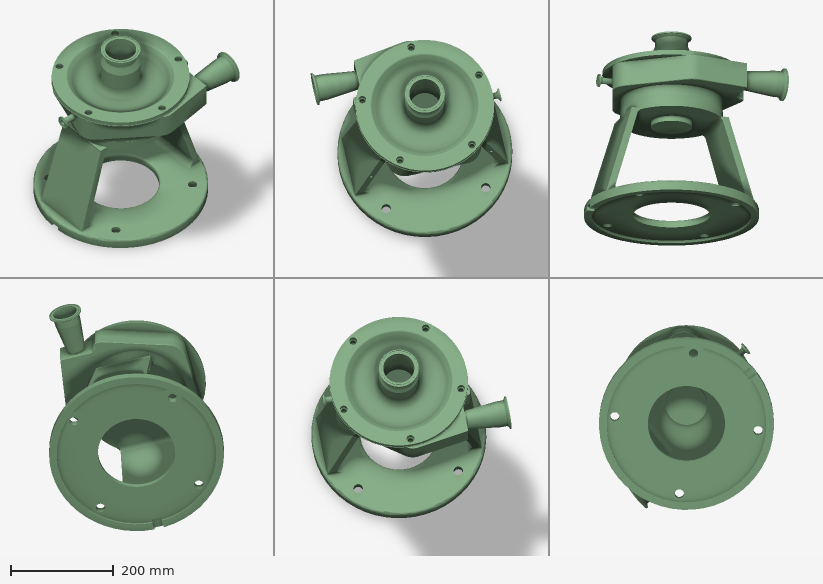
import cadquery as cq
import math

BASE_RADIUS = 170.0
BASE_THICKNESS = 20.0
BASE_EDGE_ROUND = 4.5
BASE_BORE_RADIUS = 75.0
BASE_BORE_ROUND = 5.0
ANCHOR_HOLE_DIAMETER = 18.0
ANCHOR_CIRCLE_RADIUS = 140.0
ANCHOR_HOLE_COUNT = 4
ANCHOR_START_ANGLE = 45.0
NOTCH_WIDTH = 19.0
NOTCH_HEIGHT = 8.0
NOTCH_LENGTH = 20.0
RECESS_RADIUS = 155.0
RECESS_DEPTH = 5.2

LEG_FOOT_Y = 152.8
LEG_TOP_Y = 100.0
LEG_THICKNESS = 14.0
LEG_FOOT_HALF_WIDTH = 59.8
LEG_TOP_HALF_WIDTH = 55.0
LEG_TOP_OVERLAP = 3.3
LEG_FOOT_ROUND = 13.0
LEG_TOP_ROUND = 10.0
LEG_SIDE_ROUND = 3.0
LEG_EMBED = 6.0
LEG_HOLE_DIAMETER = 6.0
LEG_HOLE_DEPTH = 10.0
LEG_HOLE_Z = 106.5

ADAPTER_RADIUS = 100.0
ADAPTER_NECK_RADIUS = 99.3
ADAPTER_STEP_Z = 215.5
ADAPTER_BOTTOM_Z = 195.5
SEAL_RADIUS = 40.0
SEAL_BOTTOM_Z = 185.0

SIDE_COUNT = 5
CASING_BOTTOM_Z = 239.5
CASING_TOP_Z = 289.0
CASING_INRADIUS = 115.0
CASING_CORNER_RADIUS = 35.0
CASING_EDGE_BEVEL = 1.0

BLOCK_FACE_Y = 114.0
BLOCK_RIGHT_X = 123.0
BLOCK_SIDE_SLANT = 9.0
BLOCK_HEEL_X = 36.0
BLOCK_HEEL_SHOULDER_X = 45.5
BLOCK_HEEL_TIP = (48.5, 131.0)
BLOCK_HEEL_FOOT_X = 52.0

COVER_RADIUS = 134.0
COVER_TOP_Z = 299.0
COVER_LIP_RADIUS = 134.8
COVER_LIP_THICKNESS = 1.4
DISH_OUTER_RADIUS = 106.6
DISH_FLOOR_RADIUS = 83.0
DISH_LIP_ROUND = 5.0
DISH_FLOOR_ROUND = 15.5
HUB_ROUND = 15.0
DISH_FLOOR_Z = COVER_TOP_Z - HUB_ROUND

BOLT_CIRCLE_RADIUS = 122.0
BOLT_COUNTERBORE_DIAMETER = 15.0
BOLT_COUNTERBORE_DEPTH = COVER_TOP_Z - CASING_TOP_Z
BOLT_HOLE_DIAMETER = 10.0
BOLT_HOLE_DEPTH = 12.0
BOLT_HOLE_BEVEL = 1.2
DRILL_POINT_ANGLE = 118.0

INLET_TOP_Z = 369.0
INLET_RADIUS = 38.75
INLET_NECK_RADIUS = 31.75
INLET_BORE_RADIUS = 30.2
INLET_NECK_BOTTOM_Z = 350.0
INLET_CONE_BOTTOM_Z = 335.5

OUTLET_X = 90.5
OUTLET_Z = 264.3
OUTLET_END_Y = 200.0
OUTLET_RIM_RADIUS = 32.0
OUTLET_PIPE_RADIUS = 25.5
OUTLET_BORE_RADIUS = 23.8
OUTLET_CONE_START_Y = 179.0
OUTLET_CONE_END_Y = 118.0
OUTLET_ROOT_RADIUS = 18.5
OUTLET_COLLAR_RADIUS = 16.7
OUTLET_COLLAR_END_Y = 116.2
OUTLET_WALL = OUTLET_PIPE_RADIUS - OUTLET_BORE_RADIUS

DRAIN_Z = 266.0
DRAIN_END_Y = -150.0
DRAIN_ROOT_Y = -112.0
DRAIN_RIM_RADIUS = 12.6
DRAIN_PIPE_RADIUS = 6.2
DRAIN_BORE_RADIUS = 4.7

RIM_THICKNESS = 2.85
RIM_STEP = 2.0
CLAMP_CONE_ANGLE = 42.0
SEAT_GROOVE_WIDTH = 2.4
SEAT_GROOVE_DEPTH = 1.5


def polar(radius, degrees, centre=(0.0, 0.0)):
    angle = math.radians(degrees)
    return (centre[0] + radius * math.cos(angle), centre[1] + radius * math.sin(angle))


def cylinder(radius, z_low, z_high):
    return cq.Workplane("XY").workplane(offset=z_low).circle(radius).extrude(z_high - z_low)


def turned(points):
    """Solid of revolution about Z from (radius, height) points."""
    return cq.Workplane("XZ").polyline(points).close().revolve(360, (0, 0, 0), (0, 1, 0))


def clamp_rim(rim_radius, pipe_radius, end):
    """Solid clamp collar whose sealing face, with a seat groove, lies at height end."""
    cone_radius = rim_radius - RIM_STEP
    cone_height = (cone_radius - pipe_radius) * math.tan(math.radians(CLAMP_CONE_ANGLE))
    back = end - RIM_THICKNESS
    collar = turned([
        (0, end),
        (rim_radius, end),
        (rim_radius, back),
        (cone_radius, back),
        (pipe_radius, back - cone_height),
        (0, back - cone_height),
    ])
    groove_outer = cone_radius
    groove_inner = groove_outer - SEAT_GROOVE_WIDTH
    groove = (
        cq.Workplane("XY").workplane(offset=end - SEAT_GROOVE_DEPTH)
        .circle(groove_outer).circle(groove_inner).extrude(SEAT_GROOVE_DEPTH)
    )
    return collar.cut(groove)


def make_base():
    base = cylinder(BASE_RADIUS, 0, BASE_THICKNESS)
    base = base.edges(">Z").fillet(BASE_EDGE_ROUND)
    base = base.faces(">Z").workplane().circle(BASE_BORE_RADIUS).cutThruAll()
    bore_edge = cq.selectors.RadiusNthSelector(0)
    base = base.faces(">Z").edges(bore_edge).fillet(BASE_BORE_ROUND)
    anchor_holes = (
        cq.Workplane("XY")
        .polarArray(ANCHOR_CIRCLE_RADIUS, ANCHOR_START_ANGLE, 360, ANCHOR_HOLE_COUNT)
        .circle(ANCHOR_HOLE_DIAMETER / 2).extrude(BASE_THICKNESS)
    )
    notch = (
        cq.Workplane("XY")
        .box(NOTCH_WIDTH, 2 * NOTCH_LENGTH, NOTCH_HEIGHT, centered=(True, True, False))
        .translate((0, -BASE_RADIUS, 0))
    )
    recess = cylinder(RECESS_RADIUS, 0, RECESS_DEPTH)
    return base.cut(anchor_holes).cut(recess).cut(notch)


def make_leg():
    """Leg on the -Y side: a sloping profile trimmed to a tapering width."""
    rise = ADAPTER_BOTTOM_Z - BASE_THICKNESS
    slope = (LEG_FOOT_Y - LEG_TOP_Y) / rise
    lean = math.atan(slope)
    thickness_y = LEG_THICKNESS / math.cos(lean)
    root_z = BASE_THICKNESS - LEG_EMBED
    top_z = ADAPTER_BOTTOM_Z + LEG_TOP_OVERLAP

    def inner_y(z):
        return -(LEG_FOOT_Y - slope * (z - BASE_THICKNESS) - thickness_y)

    foot_tangent = LEG_FOOT_ROUND * math.tan((math.pi / 2 + lean) / 2)
    top_tangent = LEG_TOP_ROUND * math.tan((math.pi / 2 - lean) / 2)
    foot_start_y = inner_y(BASE_THICKNESS) + foot_tangent
    foot_end_z = BASE_THICKNESS + foot_tangent * math.cos(lean)
    foot_middle = polar(LEG_FOOT_ROUND, 225 - math.degrees(lean) / 2,
                        (foot_start_y, BASE_THICKNESS + LEG_FOOT_ROUND))
    top_end_y = inner_y(ADAPTER_BOTTOM_Z) + top_tangent
    top_start_z = ADAPTER_BOTTOM_Z - top_tangent * math.cos(lean)
    top_middle = polar(LEG_TOP_ROUND, 135 - math.degrees(lean) / 2,
                       (top_end_y, ADAPTER_BOTTOM_Z - LEG_TOP_ROUND))
    side_profile = (
        cq.Workplane("YZ")
        .moveTo(-LEG_FOOT_Y, root_z)
        .lineTo(foot_start_y, root_z)
        .lineTo(foot_start_y, BASE_THICKNESS)
        .threePointArc(foot_middle, (inner_y(foot_end_z), foot_end_z))
        .lineTo(inner_y(top_start_z), top_start_z)
        .threePointArc(top_middle, (top_end_y, ADAPTER_BOTTOM_Z))
        .lineTo(top_end_y, top_z)
        .lineTo(-LEG_TOP_Y, top_z)
        .lineTo(-LEG_TOP_Y, ADAPTER_BOTTOM_Z)
        .lineTo(-LEG_FOOT_Y, BASE_THICKNESS)
        .close()
        .extrude(BASE_RADIUS, both=True)
    )

    flare_x = LEG_FOOT_HALF_WIDTH + LEG_SIDE_ROUND
    flare_z = BASE_THICKNESS + LEG_SIDE_ROUND
    half_outline = (
        cq.Workplane("XZ")
        .moveTo(0, root_z)
        .lineTo(flare_x, root_z)
        .lineTo(flare_x, BASE_THICKNESS)
        .radiusArc((LEG_FOOT_HALF_WIDTH, flare_z), LEG_SIDE_ROUND)
        .lineTo(LEG_TOP_HALF_WIDTH, top_z)
        .lineTo(0, top_z)
        .close()
        .extrude(BASE_RADIUS)
    )
    leg = side_profile.intersect(half_outline.union(half_outline.mirror("YZ")))

    hole_y = inner_y(LEG_HOLE_Z) - thickness_y / 2
    hole = (
        cq.Workplane("YZ").workplane(offset=-LEG_FOOT_HALF_WIDTH)
        .center(hole_y, LEG_HOLE_Z)
        .circle(LEG_HOLE_DIAMETER / 2).extrude(LEG_HOLE_DEPTH)
    )
    return leg.cut(hole)


def make_casing():
    corner_distance = (CASING_INRADIUS - CASING_CORNER_RADIUS) / math.cos(math.pi / SIDE_COUNT)
    body = (
        cq.Workplane("XY").workplane(offset=CASING_BOTTOM_Z)
        .polyline([polar(corner_distance, 360 / SIDE_COUNT * i) for i in range(SIDE_COUNT)])
        .close()
        .offset2D(CASING_CORNER_RADIUS)
        .extrude(CASING_TOP_Z - CASING_BOTTOM_Z)
    )
    return body.union(make_discharge_block()).faces("<Z").edges().chamfer(CASING_EDGE_BEVEL)


def make_discharge_block():
    """Thickened corner of the casing that carries the discharge nozzle."""
    half_step = 180 / SIDE_COUNT
    lower_normal = -half_step
    upper_normal = 3 * half_step

    slant = math.radians(BLOCK_SIDE_SLANT)
    side_distance = BLOCK_RIGHT_X * math.cos(slant) + BLOCK_FACE_Y * math.sin(slant)

    bisector = (BLOCK_SIDE_SLANT + lower_normal) / 2
    half_turn = math.radians((BLOCK_SIDE_SLANT - lower_normal) / 2)
    side_inset = side_distance - CASING_CORNER_RADIUS
    casing_inset = CASING_INRADIUS - CASING_CORNER_RADIUS
    along_bisector = (side_inset + casing_inset) / (2 * math.cos(half_turn))
    across_bisector = (side_inset - casing_inset) / (2 * math.sin(half_turn))
    centre = polar(across_bisector, bisector + 90, polar(along_bisector, bisector))

    heel_angle = math.radians(upper_normal)
    heel_y = (CASING_INRADIUS - BLOCK_HEEL_X * math.cos(heel_angle)) / math.sin(heel_angle)
    return (
        cq.Workplane("XY").workplane(offset=CASING_BOTTOM_Z)
        .moveTo(0, 0)
        .lineTo(*polar(CASING_INRADIUS, lower_normal))
        .lineTo(*polar(CASING_CORNER_RADIUS, lower_normal, centre))
        .threePointArc(
            polar(CASING_CORNER_RADIUS, bisector, centre),
            polar(CASING_CORNER_RADIUS, BLOCK_SIDE_SLANT, centre),
        )
        .lineTo(BLOCK_RIGHT_X, BLOCK_FACE_Y)
        .lineTo(BLOCK_HEEL_FOOT_X, BLOCK_FACE_Y)
        .lineTo(*BLOCK_HEEL_TIP)
        .lineTo(BLOCK_HEEL_SHOULDER_X, heel_y)
        .lineTo(BLOCK_HEEL_X, heel_y)
        .lineTo(*polar(CASING_INRADIUS, upper_normal))
        .close()
        .extrude(CASING_TOP_Z - CASING_BOTTOM_Z)
    )


def make_dish():
    """Ring-shaped recess around the inlet: 45 degree wall, rounded at lip, floor and hub."""
    half = math.sqrt(0.5)
    lip_inner = DISH_OUTER_RADIUS - DISH_LIP_ROUND * half
    lip_z = COVER_TOP_Z - DISH_LIP_ROUND * (1 - half)
    wall_foot = DISH_FLOOR_RADIUS + DISH_FLOOR_ROUND * half
    wall_foot_z = DISH_FLOOR_Z + DISH_FLOOR_ROUND * (1 - half)
    return (
        cq.Workplane("XZ")
        .moveTo(INLET_RADIUS, COVER_TOP_Z)
        .radiusArc((INLET_RADIUS + HUB_ROUND, DISH_FLOOR_Z), -HUB_ROUND)
        .lineTo(DISH_FLOOR_RADIUS, DISH_FLOOR_Z)
        .radiusArc((wall_foot, wall_foot_z), -DISH_FLOOR_ROUND)
        .lineTo(lip_inner, lip_z)
        .radiusArc((DISH_OUTER_RADIUS, COVER_TOP_Z), DISH_LIP_ROUND)
        .close()
        .revolve(360, (0, 0, 0), (0, 1, 0))
    )


def make_inlet():
    pipe = turned([
        (0, CASING_TOP_Z),
        (INLET_RADIUS, CASING_TOP_Z),
        (INLET_RADIUS, INLET_CONE_BOTTOM_Z),
        (INLET_NECK_RADIUS, INLET_NECK_BOTTOM_Z),
        (INLET_NECK_RADIUS, INLET_TOP_Z - RIM_THICKNESS),
        (0, INLET_TOP_Z - RIM_THICKNESS),
    ])
    return pipe.union(clamp_rim(INLET_RADIUS, INLET_NECK_RADIUS, INLET_TOP_Z))


def make_bolt_hole():
    """Counterbore and drilled hole about the Z axis, opening at the cover top."""
    wide = BOLT_COUNTERBORE_DIAMETER / 2
    narrow = BOLT_HOLE_DIAMETER / 2
    seat_z = COVER_TOP_Z - BOLT_COUNTERBORE_DEPTH
    hole_z = seat_z - BOLT_HOLE_DEPTH
    point_height = narrow / math.tan(math.radians(DRILL_POINT_ANGLE / 2))
    return turned([
        (0, COVER_TOP_Z),
        (wide, COVER_TOP_Z),
        (wide, seat_z),
        (narrow + BOLT_HOLE_BEVEL, seat_z),
        (narrow, seat_z - BOLT_HOLE_BEVEL),
        (narrow, hole_z),
        (0, hole_z - point_height),
    ])


def cut_bolt_holes(body):
    for i in range(SIDE_COUNT):
        place = polar(BOLT_CIRCLE_RADIUS, 360 / SIDE_COUNT * i)
        body = body.cut(make_bolt_hole().translate((*place, 0)))
    return body


def place_outlet(shape):
    """Turn a shape built along +Z to point along +Y on the discharge axis."""
    return shape.rotate((0, 0, 0), (1, 0, 0), -90).translate((OUTLET_X, 0, OUTLET_Z))


def place_drain(shape):
    """Turn a shape built along +Z to point along -Y on the drain axis."""
    return shape.rotate((0, 0, 0), (1, 0, 0), 90).translate((0, 0, DRAIN_Z))


def make_outlet():
    neck_end = OUTLET_END_Y - RIM_THICKNESS
    pipe = turned([
        (0, BLOCK_FACE_Y),
        (OUTLET_COLLAR_RADIUS, BLOCK_FACE_Y),
        (OUTLET_COLLAR_RADIUS, OUTLET_COLLAR_END_Y),
        (OUTLET_ROOT_RADIUS, OUTLET_CONE_END_Y),
        (OUTLET_PIPE_RADIUS, OUTLET_CONE_START_Y),
        (OUTLET_PIPE_RADIUS, neck_end),
        (0, neck_end),
    ])
    return place_outlet(pipe.union(clamp_rim(OUTLET_RIM_RADIUS, OUTLET_PIPE_RADIUS, OUTLET_END_Y)))


def make_outlet_bore():
    return place_outlet(turned([
        (0, BLOCK_FACE_Y),
        (OUTLET_COLLAR_RADIUS - OUTLET_WALL, BLOCK_FACE_Y),
        (OUTLET_BORE_RADIUS, OUTLET_CONE_START_Y),
        (OUTLET_BORE_RADIUS, OUTLET_END_Y),
        (0, OUTLET_END_Y),
    ]))


def make_drain():
    end = -DRAIN_END_Y
    pipe = cylinder(DRAIN_PIPE_RADIUS, -DRAIN_ROOT_Y, end - RIM_THICKNESS)
    return place_drain(pipe.union(clamp_rim(DRAIN_RIM_RADIUS, DRAIN_PIPE_RADIUS, end)))


def make_drain_bore():
    return place_drain(cylinder(DRAIN_BORE_RADIUS, -DRAIN_ROOT_Y, -DRAIN_END_Y))


leg = make_leg()
adapter = cylinder(ADAPTER_RADIUS, ADAPTER_BOTTOM_Z, ADAPTER_STEP_Z)
adapter_neck = cylinder(ADAPTER_NECK_RADIUS, ADAPTER_STEP_Z, CASING_BOTTOM_Z)
seal_housing = cylinder(SEAL_RADIUS, SEAL_BOTTOM_Z, ADAPTER_BOTTOM_Z)
cover = cylinder(COVER_RADIUS, CASING_TOP_Z, COVER_TOP_Z)
cover_lip = cylinder(COVER_LIP_RADIUS, CASING_TOP_Z, CASING_TOP_Z + COVER_LIP_THICKNESS)
inlet_bore = cylinder(INLET_BORE_RADIUS, DISH_FLOOR_Z, INLET_TOP_Z)

result = make_base().union(leg).union(leg.mirror("XZ"))
result = result.union(adapter).union(adapter_neck).union(seal_housing)
result = result.union(make_casing()).union(cover).union(cover_lip)
result = cut_bolt_holes(result.cut(make_dish()))
result = result.union(make_inlet()).cut(inlet_bore)
result = result.union(make_outlet()).cut(make_outlet_bore())
result = result.union(make_drain()).cut(make_drain_bore())